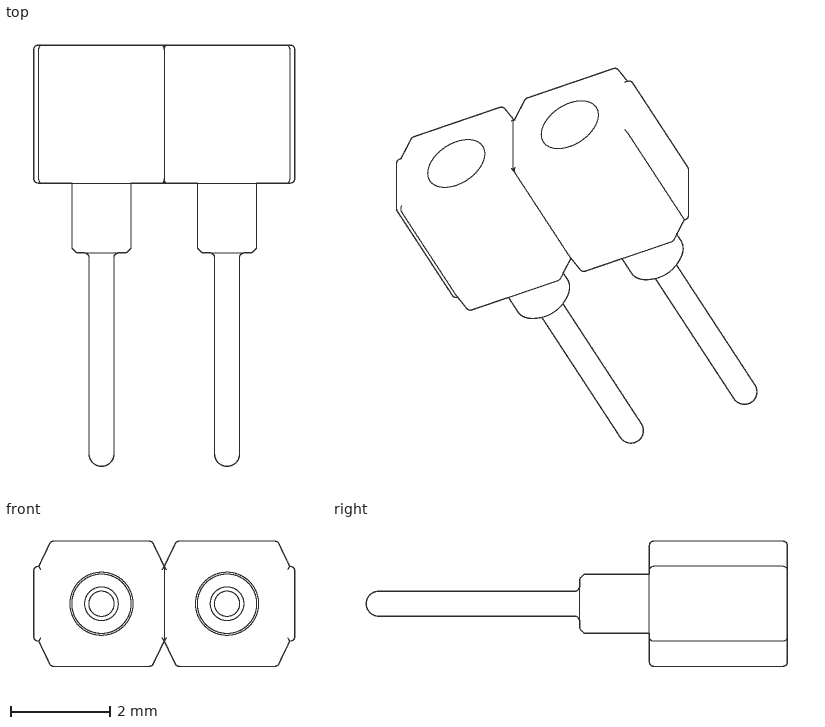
import cadquery as cq
import math

total_width = 5.28
total_length = 8.51
contact_pitch = 2.54
contact_count = 2
housing_length = 2.79

cell_half = contact_pitch / 2
top_half_width = 1.02
pad_half_height = 0.76
pad_thickness = (total_width - contact_count * contact_pitch) / 2
edge_radius = 0.09

barrel_radius = 0.64
sleeve_diameter = 1.2
sleeve_radius = sleeve_diameter / 2
sleeve_length = 1.4
gap_depth = 0.255
sleeve_chamfer = 0.09
chamfer_blend_radius = 0.04
root_radius = 0.34
root_cone_radius = 0.3
root_cone_length = 0.025
pin_radius = 0.255
root_length = 0.085

front_y = 0.0
back_y = front_y + housing_length
barrel_front_y = front_y + gap_depth
sleeve_end_y = front_y - sleeve_length
root_cone_end_y = sleeve_end_y - root_cone_length
pin_start_y = sleeve_end_y - root_length
tip_y = back_y - total_length

contact_positions = [(i - (contact_count - 1) / 2) * contact_pitch for i in range(contact_count)]


def make_cell_block():
    """Solid cell centred on x = 0, padded on both sides, with all outer edges rounded."""
    pad_half_width = cell_half + pad_thickness
    upper_outline = [
        (-pad_half_width, pad_half_height),
        (-cell_half, pad_half_height),
        (-top_half_width, cell_half),
        (top_half_width, cell_half),
        (cell_half, pad_half_height),
        (pad_half_width, pad_half_height),
    ]
    lower_outline = [(x, -z) for x, z in reversed(upper_outline)]
    block = (
        cq.Workplane("XZ", origin=(0, back_y, 0))
        .polyline(upper_outline + lower_outline)
        .close()
        .extrude(housing_length)
    )
    inner_corners = cq.selectors.BoxSelector(
        (-cell_half - pad_thickness / 2, front_y + edge_radius, -cell_half + edge_radius),
        (cell_half + pad_thickness / 2, back_y - edge_radius, cell_half - edge_radius),
    )
    outer_edges = cq.selectors.InverseSelector(inner_corners)
    return block.edges(outer_edges).fillet(edge_radius)


def make_housing(center_x):
    """Housing cell of one contact, cut flat on x = 0 where it meets its neighbour."""
    side = math.copysign(1, center_x)
    own_half = (
        cq.Workplane("XY")
        .box(total_width, 2 * total_length, total_width)
        .translate((side * total_width / 2, 0, 0))
    )
    hole = cq.Workplane("XZ", origin=(center_x, back_y, 0)).circle(barrel_radius).extrude(housing_length)
    return make_cell_block().translate((center_x, 0, 0)).intersect(own_half).cut(hole)


def make_contact(center_x):
    """Turned contact: barrel, sleeve with a rounded chamfer, flared root and round-tipped pin."""
    arc_width = root_cone_radius - pin_radius
    arc_length = root_cone_end_y - pin_start_y
    root_arc_radius = (arc_width**2 + arc_length**2) / (2 * arc_width)
    profile = (
        cq.Workplane("XY")
        .moveTo(0, back_y)
        .lineTo(barrel_radius, back_y)
        .lineTo(barrel_radius, barrel_front_y)
        .lineTo(sleeve_radius, barrel_front_y)
        .lineTo(sleeve_radius, sleeve_end_y + sleeve_chamfer)
        .lineTo(sleeve_radius - sleeve_chamfer, sleeve_end_y)
        .lineTo(root_radius, sleeve_end_y)
        .lineTo(root_cone_radius, root_cone_end_y)
        .radiusArc((pin_radius, pin_start_y), -root_arc_radius)
        .lineTo(pin_radius, tip_y + pin_radius)
        .radiusArc((0, tip_y), pin_radius)
        .close()
    )
    contact = profile.revolve(360, (0, 0, 0), (0, 1, 0))
    chamfer_zone = cq.selectors.BoxSelector(
        (-barrel_radius, sleeve_end_y - root_cone_length / 2, -barrel_radius),
        (barrel_radius, sleeve_end_y + 2 * sleeve_chamfer, barrel_radius),
    )
    chamfer_edges = [
        edge
        for edge in contact.edges("%CIRCLE").edges(chamfer_zone).vals()
        if edge.radius() > root_radius + chamfer_blend_radius
    ]
    contact = contact.newObject(chamfer_edges).fillet(chamfer_blend_radius)
    return contact.translate((center_x, 0, 0))


housings = [make_housing(x) for x in contact_positions]
contacts = [make_contact(x) for x in contact_positions]
result = cq.Compound.makeCompound([body.val() for body in housings + contacts])